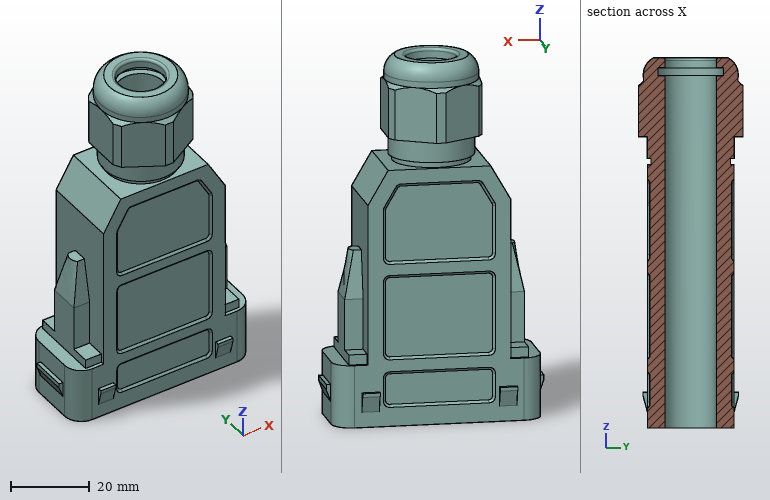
import cadquery as cq
import math

BODY_DEPTH = 22.0
BODY_WIDTH = 37.0
BODY_TOP_WIDTH = 26.5
BODY_TOP_Z = 66.9
SHOULDER_Z = 58.0
FOOT_WIDTH = 54.0
FOOT_HEIGHT = 16.3
FOOT_CORNER_RADIUS = 5.1

PANEL_WIDTH = 29.0
PANEL_DEPTH = 0.6
PANEL_WALL_DRAFT = 50
PANEL_CORNER_RADIUS = 1.7
LOWER_PANEL_Z = (5.0, 14.3)
MIDDLE_PANEL_Z = (17.4, 39.4)
UPPER_PANEL_Z = (42.3, 63.2)
UPPER_PANEL_SHOULDER_Z = 56.9

LUG_SPAN = 46.5
LUG_WIDTH = 9.0
LUG_TAPER_Z = 32.1
LUG_TOP_Z = 44.3
LUG_TIP_SPAN = 43.0
LUG_TIP_WIDTH = 4.2
LUG_TIP_RADIUS = 2.8
FLANGE_WIDTH = 19.95
FLANGE_HEIGHT = 2.6

SNAP_PROJECTION = 1.1
END_SNAP_WIDTH = 10.35
END_SNAP_Z = (5.8, 8.9, 10.3)
FACE_SNAP_WIDTH = 4.5
FACE_SNAP_SPACING = 35.6
FACE_SNAP_Z = (4.0, 8.2, 9.1)

NECK_DIAMETER = 20.2
COLLAR_DIAMETER = 22.1
COLLAR_Z = 68.4
NUT_Z = 74.0
NUT_TOP_Z = 88.1
NUT_ACROSS_FLATS = 24.2
NUT_ACROSS_CORNERS = 26.5
NUT_CHAMFER_HEIGHT = 1.0
DOME_Z = 89.7
DOME_TOP_Z = 94.1
DOME_TOP_DIAMETER = 18.8

BORE_DIAMETER = 13.0
MOUTH_RADIUS = 0.75
RECESS_DIAMETER = 16.6
RECESS_BOTTOM_Z = 89.5
RECESS_TOP_Z = 91.5

OVERLAP = 0.9


def box_between(width, depth, z_low, z_high):
    """Box centred on the Z axis, spanning two heights."""
    return cq.Workplane("XY").workplane(offset=z_low).rect(width, depth).extrude(z_high - z_low)


def cylinder_between(diameter, z_low, z_high):
    return cq.Workplane("XY").workplane(offset=z_low).circle(diameter / 2).extrude(z_high - z_low)


def both_ways(piece):
    """The piece together with its copy turned half a turn about Z."""
    return piece.union(piece.rotate((0, 0, 0), (0, 0, 1), 180))


def bevelled_outline(width, top_width, z_low, z_shoulder, z_high):
    """Outline in XZ of a rectangle whose upper corners are cut away."""
    return [
        (-width / 2, z_low),
        (width / 2, z_low),
        (width / 2, z_shoulder),
        (top_width / 2, z_high),
        (-top_width / 2, z_high),
        (-width / 2, z_shoulder),
    ]


def rectangle_outline(width, z_low, z_high):
    return [(-width / 2, z_low), (width / 2, z_low), (width / 2, z_high), (-width / 2, z_high)]


def make_body():
    outline = bevelled_outline(BODY_WIDTH, BODY_TOP_WIDTH, 0, SHOULDER_Z, BODY_TOP_Z)
    tower = cq.Workplane("XZ").polyline(outline).close().extrude(BODY_DEPTH / 2, both=True)
    foot = box_between(FOOT_WIDTH, BODY_DEPTH, 0, FOOT_HEIGHT)
    foot = foot.edges("|Z").fillet(FOOT_CORNER_RADIUS)
    return foot.union(tower)


def make_panel(outline):
    """Cutter for one recess in the front face, narrowing towards its floor."""
    face = cq.Workplane("XZ", origin=(0, -BODY_DEPTH / 2, 0))
    blank = face.polyline(outline).close().extrude(-PANEL_DEPTH).edges("|Y").fillet(PANEL_CORNER_RADIUS)
    rim = blank.faces("<Y").wires().vals()[0]
    return face.add(rim).toPending().extrude(-PANEL_DEPTH, taper=PANEL_WALL_DRAFT)


def make_panels():
    shoulder_slope = (BODY_WIDTH - BODY_TOP_WIDTH) / (BODY_TOP_Z - SHOULDER_Z)
    upper_top_width = PANEL_WIDTH - shoulder_slope * (UPPER_PANEL_Z[1] - UPPER_PANEL_SHOULDER_Z)
    upper_outline = bevelled_outline(
        PANEL_WIDTH, upper_top_width, UPPER_PANEL_Z[0], UPPER_PANEL_SHOULDER_Z, UPPER_PANEL_Z[1]
    )
    panels = make_panel(upper_outline)
    for z_low, z_high in (LOWER_PANEL_Z, MIDDLE_PANEL_Z):
        panels = panels.union(make_panel(rectangle_outline(PANEL_WIDTH, z_low, z_high)))
    return both_ways(panels)


def make_lugs():
    """Guide lugs: flanges, straight shanks and tips tapering to a rounded end."""
    flange = box_between(LUG_SPAN, FLANGE_WIDTH, FOOT_HEIGHT, FOOT_HEIGHT + FLANGE_HEIGHT)
    shank = box_between(LUG_SPAN, LUG_WIDTH, FOOT_HEIGHT, LUG_TAPER_Z)

    root_x = BODY_WIDTH / 2 - OVERLAP
    tip_x = LUG_TIP_SPAN / 2
    half_tip = LUG_TIP_WIDTH / 2
    arc_rise = LUG_TIP_RADIUS - math.sqrt(LUG_TIP_RADIUS**2 - half_tip**2)
    tip = (
        cq.Workplane("XY", origin=(0, 0, LUG_TAPER_Z))
        .moveTo(root_x, -LUG_WIDTH / 2)
        .lineTo(LUG_SPAN / 2, -LUG_WIDTH / 2)
        .lineTo(LUG_SPAN / 2, LUG_WIDTH / 2)
        .lineTo(root_x, LUG_WIDTH / 2)
        .close()
        .workplane(offset=LUG_TOP_Z - LUG_TAPER_Z)
        .moveTo(root_x, -half_tip)
        .lineTo(tip_x - arc_rise, -half_tip)
        .threePointArc((tip_x, 0), (tip_x - arc_rise, half_tip))
        .lineTo(root_x, half_tip)
        .close()
        .loft(ruled=True)
    )
    return flange.union(shank).union(both_ways(tip))


def make_snap(plane, wall, levels, width):
    """Wedge standing out from a wall: a short upright face over a long slope."""
    z_tip, z_flat, z_top = levels
    return (
        cq.Workplane(plane)
        .polyline([
            (wall - OVERLAP, z_tip),
            (wall, z_tip),
            (wall + SNAP_PROJECTION, z_flat),
            (wall + SNAP_PROJECTION, z_top),
            (wall - OVERLAP, z_top),
        ])
        .close()
        .extrude(width / 2, both=True)
    )


def make_snaps():
    snaps = make_snap("XZ", FOOT_WIDTH / 2, END_SNAP_Z, END_SNAP_WIDTH)
    face_snap = make_snap("YZ", BODY_DEPTH / 2, FACE_SNAP_Z, FACE_SNAP_WIDTH)
    for side in (-1, 1):
        snaps = snaps.union(face_snap.translate((side * FACE_SNAP_SPACING / 2, 0, 0)))
    return both_ways(snaps)


def make_nut():
    """Hexagon with flattened corners and a conical chamfer around its top."""
    height = NUT_TOP_Z - NUT_Z
    sharp_corners = NUT_ACROSS_FLATS / math.cos(math.pi / 6)
    base = cq.Workplane("XY", origin=(0, 0, NUT_Z))
    nut = base.polygon(6, sharp_corners).extrude(height)
    trim = base.polygon(6, NUT_ACROSS_CORNERS / math.cos(math.pi / 6)).extrude(height)
    nut = nut.rotate((0, 0, 0), (0, 0, 1), 30).intersect(trim)
    flat_radius = NUT_ACROSS_FLATS / 2
    cone_run = NUT_ACROSS_CORNERS / 2 - flat_radius
    outer_radius = flat_radius + 2 * cone_run
    chamfer = (
        cq.Workplane("XZ")
        .moveTo(0, NUT_Z)
        .lineTo(outer_radius, NUT_Z)
        .lineTo(outer_radius, NUT_TOP_Z - 2 * NUT_CHAMFER_HEIGHT)
        .lineTo(flat_radius, NUT_TOP_Z)
        .lineTo(0, NUT_TOP_Z)
        .close()
        .revolve(360, (0, 0, 0), (0, 1, 0))
    )
    return nut.intersect(chamfer)


def make_dome():
    """Rounded cap: a short cylinder that curves in, tangent to its wall, to the flat top."""
    base_radius = NUT_ACROSS_FLATS / 2
    top_radius = DOME_TOP_DIAMETER / 2
    rise = DOME_TOP_Z - DOME_Z
    return (
        cq.Workplane("XZ")
        .moveTo(0, NUT_TOP_Z)
        .lineTo(base_radius, NUT_TOP_Z)
        .lineTo(base_radius, DOME_Z)
        .tangentArcPoint((top_radius - base_radius, rise))
        .lineTo(0, DOME_TOP_Z)
        .close()
        .revolve(360, (0, 0, 0), (0, 1, 0))
    )


def make_gland():
    neck = cylinder_between(NECK_DIAMETER, BODY_TOP_Z - OVERLAP, COLLAR_Z)
    collar = cylinder_between(COLLAR_DIAMETER, COLLAR_Z, NUT_Z)
    return neck.union(collar).union(make_nut()).union(make_dome())


def make_passage():
    """Through bore with a rounded mouth and an undercut recess below the lip."""
    bore_radius = BORE_DIAMETER / 2
    bore = (
        cq.Workplane("XZ")
        .lineTo(bore_radius, 0)
        .lineTo(bore_radius, DOME_TOP_Z - MOUTH_RADIUS)
        .tangentArcPoint((MOUTH_RADIUS, MOUTH_RADIUS))
        .lineTo(0, DOME_TOP_Z)
        .close()
        .revolve(360, (0, 0, 0), (0, 1, 0))
    )
    return bore.union(cylinder_between(RECESS_DIAMETER, RECESS_BOTTOM_Z, RECESS_TOP_Z))


result = (
    make_body()
    .cut(make_panels())
    .union(make_lugs())
    .union(make_snaps())
    .union(make_gland())
    .cut(make_passage())
)